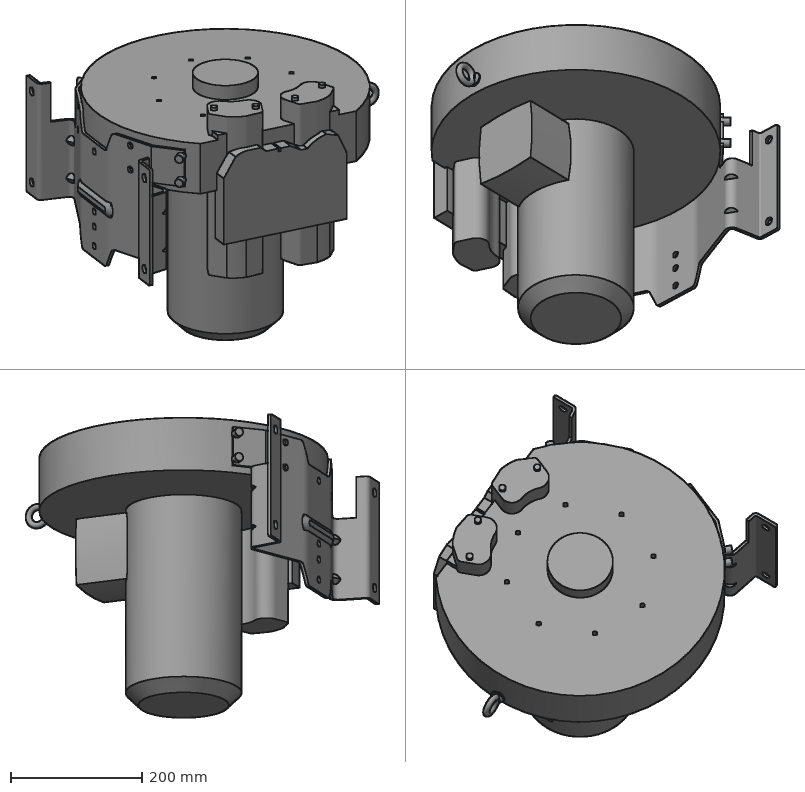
import cadquery as cq
import math


OVERLAP = 5.0

DISC_R = 220.0
DISC_THICK = 83.5
FLAT_X = 174.5
HUB_R = 50.0
HUB_H = 23.5
COVER_HOLE_CIRCLE_R = 113.5
COVER_HOLE_D = 7.0
COVER_HOLE_DEPTH = 15.0
COVER_HOLE_COUNT = 8

MOTOR_R = 88.5
MOTOR_BOTTOM = -391.5
MOTOR_CHAMFER = 19.5
BOX_TOP = -91.5
BOX_BOTTOM = -196.0
BOX_HALF_W = 52.0
BOX_BULGE = 3.5
BOX_END_Y = 155.5
BOX_START_Y = 50.0

SILENCER_ANGLE = 22.5
SILENCER_TOP = 35.5
SILENCER_BOTTOM = -232.5
LOBE_R = 19.0
LOBE_U = 153.0
LOBE_V = 22.5
NECK_U = 138.0
NECK_END = (135.0, 16.5)
SHOULDER_U = 181.5
OUTER_END = (195.0, 15.0)
OUTER_U = 196.5
SHOULDER_FILLET = 6.5
CAP_BOLT_R = 5.0
CAP_BOLT_H = 5.0
CAP_BOLT_U = 165.0
CAP_BOLT_V = 32.0
PAD_X = 154.5
PAD_Y = (80.0, 104.0)
PAD_TOP = 8.0
FLANGE_X = 197.5
FLANGE_HALF_Y = 105.5
FLANGE_BOTTOM = -164.5
FLANGE_PEAK = -16.5
FLANGE_SHOULDER = -23.0
FLANGE_SADDLE = -24.0
FLANGE_FALL = -27.0
FLANGE_VALLEY = -34.0
FLANGE_END_TOP = -55.0
REAR_SHOULDER_Y = 91.0
REAR_PEAK_Y = 70.5
REAR_CREST = (59.5, -20.0)
REAR_FALL_Y = 46.0
VALLEY_REAR_Y = 38.0
VALLEY_FRONT_Y = 27.0
SADDLE_REAR_Y = 9.0
SADDLE_FRONT_Y = -33.0
FRONT_PEAK_REAR_Y = -42.0
FRONT_PEAK_Y = -61.5
FRONT_CREST = (-74.5, -18.0)
FRONT_SHOULDER_Y = -85.5
FLANGE_GROOVE_Y = -10.0
FLANGE_GROOVE_W = 3.5
FLANGE_GROOVE_DEPTH = 5.0

EYE_Z = -62.5
EYE_TUBE_R = 5.0
EYE_RING_R = 14.5
EYE_TIP_Y = 263.0
EYE_COLLAR_Y = 224.0
EYE_COLLAR_R = 11.0
EYE_COLLAR_RIM = 2.0
EYE_NECK_R = 7.5
EYE_NECK_Y = 231.0
EYE_SHANK_R = 4.5

SHEET = 5.0
RIM_GAP = 0.5
PLATE_DIST = DISC_R + RIM_GAP + SHEET / 2
EAR_DIST = DISC_R - RIM_GAP + SHEET / 2
WING_ANGLE = 22.5
EAR_ANGLE = 45.0
LEG_ANGLE = 11.0
FOOT_MID_Y = -233.5
FOOT_BEND_X = 165.0
FOOT_END_X = 203.5
FOOT_BEND_R = 5.0
LEG_BEND_R = 10.0
CENTRE_BEND_R = 37.5
EAR_BEND_R = 10.0
EAR_LENGTH = 52.0
BRACKET_TOP = -12.0
BRACKET_BOTTOM = -205.0
PANEL_TOP = -46.5
PANEL_BOTTOM = -239.0
PANEL_HALF_W = 39.0
PANEL_SLOPE_X = 53.5
PANEL_FILLET = 7.0
FOOT_CORNER_R = 3.0
EAR_BOTTOM = -72.5
NOTCH_BOTTOM = -77.0
NOTCH_X = 124.5
NOTCH_Y = -216.5
EAR_BOLT_Z = (-22.5, -62.5)
EAR_BOLT_R = 6.5
EAR_BOLT_END = 235.5
SHEET_HOLE_D = 10.0
PANEL_HOLE_Z = (-62.5, -162.0, -187.0, -219.5)
FOOT_HOLE_D = 13.0
FOOT_HOLE_X = 185.5
FOOT_HOLE_Z = (-32.5, -183.5)

BEAD_Z = -141.0
BEAD_HEIGHT = 4.5
BEAD_RIDGE_LENGTH = 92.0
BEAD_RIDGE_WIDTH = 8.5
BEAD_ROOT = 2.5
BEAD_TAPER = 58.0
GUSSET_Z = (-110.5, -173.0)
GUSSET_LENGTH = 14.0
GUSSET_HALF_H = 11.5
GUSSET_ROOT = 2.5
GUSSET_DEPTH = 11.0
DENT_LENGTH = 20.0
DENT_HALF_H = 6.5
DENT_DEPTH = 6.0


def both_x(shape):
    """Shape together with its mirror image across the YZ plane."""
    return shape.union(shape.mirror("YZ"))


def both_y(shape):
    """Shape together with its mirror image across the XZ plane."""
    return shape.union(shape.mirror("XZ"))


def housing():
    disc = cq.Workplane("XY").circle(DISC_R).extrude(-DISC_THICK)
    beyond_flat = cq.Workplane("XY").box(
        DISC_R, 2 * DISC_R, 2 * DISC_THICK, centered=(False, True, True)
    ).translate((FLAT_X, 0, -DISC_THICK / 2))
    disc = disc.cut(beyond_flat)
    cover_holes = (
        cq.Workplane("XY")
        .polarArray(COVER_HOLE_CIRCLE_R, 0, 360, COVER_HOLE_COUNT)
        .circle(COVER_HOLE_D / 2)
        .extrude(-COVER_HOLE_DEPTH)
    )
    hub = cq.Workplane("XY").circle(HUB_R).extrude(HUB_H)
    return disc.cut(cover_holes).union(hub)


def motor():
    top = -DISC_THICK / 2
    return (
        cq.Workplane("XY", origin=(0, 0, top))
        .circle(MOTOR_R)
        .extrude(MOTOR_BOTTOM - top)
        .faces("<Z")
        .chamfer(MOTOR_CHAMFER)
    )


def terminal_box():
    mid_z = (BOX_TOP + BOX_BOTTOM) / 2
    bulged_w = BOX_HALF_W + BOX_BULGE
    return (
        cq.Workplane("XZ", origin=(0, BOX_END_Y, 0))
        .moveTo(-BOX_HALF_W, BOX_TOP)
        .threePointArc((0, BOX_TOP + BOX_BULGE), (BOX_HALF_W, BOX_TOP))
        .threePointArc((bulged_w, mid_z), (BOX_HALF_W, BOX_BOTTOM))
        .threePointArc((0, BOX_BOTTOM - BOX_BULGE), (-BOX_HALF_W, BOX_BOTTOM))
        .threePointArc((-bulged_w, mid_z), (-BOX_HALF_W, BOX_TOP))
        .close()
        .extrude(BOX_END_Y - BOX_START_Y)
    )


def silencer():
    """Kidney-shaped tube with two cap bolts, drawn along X and then swung round."""
    side_v = LOBE_V + LOBE_R
    lobe_mid = (LOBE_U - LOBE_R * math.sqrt(0.5), LOBE_V + LOBE_R * math.sqrt(0.5))
    neck_u, neck_v = NECK_END
    outer_u, outer_v = OUTER_END
    tube = (
        cq.Workplane("XY", origin=(0, 0, SILENCER_BOTTOM))
        .moveTo(neck_u, -neck_v)
        .threePointArc((NECK_U, 0), (neck_u, neck_v))
        .threePointArc(lobe_mid, (LOBE_U, side_v))
        .lineTo(SHOULDER_U, side_v)
        .lineTo(outer_u, outer_v)
        .threePointArc((OUTER_U, 0), (outer_u, -outer_v))
        .lineTo(SHOULDER_U, -side_v)
        .lineTo(LOBE_U, -side_v)
        .threePointArc((lobe_mid[0], -lobe_mid[1]), (neck_u, -neck_v))
        .close()
        .extrude(SILENCER_TOP - SILENCER_BOTTOM)
    )
    for side in (1, -1):
        shoulder = cq.selectors.NearestToPointSelector((SHOULDER_U, side * side_v, SILENCER_BOTTOM / 2))
        tube = tube.edges("|Z").edges(shoulder).fillet(SHOULDER_FILLET)
    bolts = (
        cq.Workplane("XY", origin=(0, 0, SILENCER_TOP))
        .pushPoints([(CAP_BOLT_U, CAP_BOLT_V), (CAP_BOLT_U, -CAP_BOLT_V)])
        .circle(CAP_BOLT_R)
        .extrude(CAP_BOLT_H)
    )
    return tube.union(bolts).rotate((0, 0, 0), (0, 0, 1), SILENCER_ANGLE)


def pad():
    low_y, high_y = PAD_Y
    return cq.Workplane("XY").box(
        FLAT_X - PAD_X, high_y - low_y, 2 * PAD_TOP, centered=(False, False, True)
    ).translate((PAD_X, low_y, 0))


def port_flange():
    """Plate on the flat of the disc whose top edge has a hump over each port."""
    thickness = FLANGE_X - FLAT_X + OVERLAP
    plane = cq.Workplane("YZ", origin=(FLAT_X - OVERLAP, 0, 0))
    plate = (
        plane.moveTo(FLANGE_HALF_Y, FLANGE_BOTTOM)
        .lineTo(FLANGE_HALF_Y, FLANGE_END_TOP)
        .lineTo(REAR_SHOULDER_Y, FLANGE_SHOULDER)
        .lineTo(REAR_PEAK_Y, FLANGE_PEAK)
        .threePointArc(REAR_CREST, (REAR_FALL_Y, FLANGE_FALL))
        .lineTo(VALLEY_REAR_Y, FLANGE_VALLEY)
        .lineTo(VALLEY_FRONT_Y, FLANGE_VALLEY)
        .lineTo(SADDLE_REAR_Y, FLANGE_SADDLE)
        .lineTo(SADDLE_FRONT_Y, FLANGE_SADDLE)
        .lineTo(FRONT_PEAK_REAR_Y, FLANGE_PEAK)
        .lineTo(FRONT_PEAK_Y, FLANGE_PEAK)
        .threePointArc(FRONT_CREST, (FRONT_SHOULDER_Y, FLANGE_SHOULDER))
        .lineTo(-FLANGE_HALF_Y, FLANGE_END_TOP)
        .lineTo(-FLANGE_HALF_Y, FLANGE_BOTTOM)
        .close()
        .extrude(thickness)
    )
    groove = (
        plane.center(FLANGE_GROOVE_Y, FLANGE_SADDLE)
        .rect(FLANGE_GROOVE_W, 2 * FLANGE_GROOVE_DEPTH)
        .extrude(thickness)
    )
    return plate.cut(groove)


def lifting_eye():
    ring_y = EYE_TIP_Y - EYE_RING_R - EYE_TUBE_R
    ring = cq.Workplane(cq.Solid.makeTorus(
        EYE_RING_R, EYE_TUBE_R, cq.Vector(0, ring_y, EYE_Z), cq.Vector(1, 0, 0)
    ))
    rim_y = EYE_COLLAR_Y + EYE_COLLAR_RIM
    stem = (
        cq.Workplane("XY")
        .polyline([
            (0, DISC_R - OVERLAP),
            (EYE_SHANK_R, DISC_R - OVERLAP),
            (EYE_SHANK_R, EYE_COLLAR_Y),
            (EYE_COLLAR_R, EYE_COLLAR_Y),
            (EYE_COLLAR_R, rim_y),
            (EYE_NECK_R, EYE_NECK_Y),
            (0, EYE_NECK_Y),
        ])
        .close()
        .revolve(360, (0, 0, 0), (0, 1, 0))
        .translate((0, 0, EYE_Z))
    )
    return ring.union(stem)


def plane_crossing(dist_a, angle_a, dist_b, angle_b):
    """Where two upright sheets cross; angles turn from -Y towards -X."""
    a, b = math.radians(angle_a), math.radians(angle_b)
    spread = math.sin(b - a)
    x = (dist_a * math.cos(b) - dist_b * math.cos(a)) / spread
    y = (dist_a * math.sin(b) - dist_b * math.sin(a)) / -spread
    return x, y


def folded_sheet(corners, bend_radii, z_bottom, z_top):
    """Upright sheet whose middle follows the corners, with a bend at each inner one."""
    path = cq.Wire.makePolygon([cq.Vector(x, y, z_bottom) for x, y in corners])
    for corner, radius in zip(corners[1:-1], bend_radii):
        x, y = corner
        vertex = min(path.Vertices(), key=lambda v: math.hypot(v.X - x, v.Y - y))
        path = path.fillet(radius, [vertex])
    start, following = cq.Vector(*corners[0]), cq.Vector(*corners[1])
    profile_plane = cq.Plane(
        origin=(*corners[0], z_bottom), xDir=(0, 0, 1), normal=(following - start).toTuple()
    )
    height = z_top - z_bottom
    return (
        cq.Workplane(profile_plane)
        .center(height / 2, 0)
        .rect(height, SHEET)
        .sweep(cq.Workplane(path))
    )


CENTRE_CORNER = plane_crossing(PLATE_DIST, 0, PLATE_DIST, WING_ANGLE)
EAR_CORNER = plane_crossing(PLATE_DIST, WING_ANGLE, EAR_DIST, EAR_ANGLE)
FOOT_BEND = (-FOOT_BEND_X, FOOT_MID_Y)
LEG_NORMAL = 90 + LEG_ANGLE
LEG_DIST = (
    FOOT_BEND_X * math.sin(math.radians(LEG_NORMAL))
    - FOOT_MID_Y * math.cos(math.radians(LEG_NORMAL))
)
LEG_CORNER = plane_crossing(PLATE_DIST, WING_ANGLE, LEG_DIST, LEG_NORMAL)


def bracket_outline():
    """Front outline of the bracket, as a block along Y."""
    half = (
        cq.Workplane("XZ")
        .polyline([
            (0, PANEL_TOP),
            (-PANEL_HALF_W, PANEL_TOP),
            (-PANEL_SLOPE_X, BRACKET_TOP),
            (-FOOT_END_X, BRACKET_TOP),
            (-FOOT_END_X, BRACKET_BOTTOM),
            (-PANEL_SLOPE_X, BRACKET_BOTTOM),
            (-PANEL_HALF_W, PANEL_BOTTOM),
            (0, PANEL_BOTTOM),
        ])
        .close()
        .extrude(2 * DISC_R)
    )
    inner_corners = cq.selectors.BoxSelector(
        (-FOOT_END_X / 2, -2 * DISC_R, 2 * PANEL_BOTTOM), (-PANEL_HALF_W / 2, 0, 0)
    )
    half = half.edges("|Y").edges(inner_corners).fillet(PANEL_FILLET)
    half = half.edges("|Y and <X").fillet(FOOT_CORNER_R)
    return both_x(half)


def main_sheet():
    """Foot, leg, wing and half of the centre panel, mirrored to the full width."""
    half = folded_sheet(
        [(-FOOT_END_X, FOOT_MID_Y), FOOT_BEND, LEG_CORNER, CENTRE_CORNER, (0, -PLATE_DIST)],
        [FOOT_BEND_R, LEG_BEND_R, CENTRE_BEND_R],
        PANEL_BOTTOM,
        BRACKET_TOP,
    )
    notch_size = (FOOT_END_X - NOTCH_X, DISC_R, BRACKET_TOP - NOTCH_BOTTOM)
    notch = cq.Workplane("XY").box(*notch_size, centered=False)
    half = half.cut(notch.translate((-FOOT_END_X, NOTCH_Y, NOTCH_BOTTOM)))
    return both_x(half).intersect(bracket_outline())


def ear():
    """Tab that follows the wing and then turns back to lie on the disc rim."""
    root = ((CENTRE_CORNER[0] + EAR_CORNER[0]) / 2, (CENTRE_CORNER[1] + EAR_CORNER[1]) / 2)
    turn = math.radians(EAR_ANGLE)
    tip = (
        EAR_CORNER[0] - EAR_LENGTH * math.cos(turn),
        EAR_CORNER[1] + EAR_LENGTH * math.sin(turn),
    )
    return folded_sheet([tip, EAR_CORNER, root], [EAR_BEND_R], EAR_BOTTOM, BRACKET_TOP)


def leg_bend_wedge(length, half_height, root, ridge, z):
    """Triangular bar across the leg bend, from depth root to a ridge pointing into the bend.

    Depths are counted from the outer apex of the bend.
    """
    wing, leg_inside = math.radians(WING_ANGLE), math.radians(LEG_NORMAL - 180)
    middle = (wing + leg_inside) / 2
    inward = cq.Vector(-math.sin(middle), -math.cos(middle), 0)
    to_centre = LEG_BEND_R / math.cos((wing - leg_inside) / 2)
    to_apex = to_centre - LEG_BEND_R - SHEET / 2
    apex = cq.Vector(*LEG_CORNER, z) + inward * to_apex
    across = cq.Vector(0, 0, 1).cross(inward)
    return (
        cq.Workplane(cq.Plane(origin=apex, xDir=inward, normal=across))
        .polyline([(root, -half_height), (ridge, 0), (root, half_height)])
        .close()
        .extrude(length / 2, both=True)
    )


def bead():
    """Pressed stiffening bead across the centre panel."""
    face_y = -PLATE_DIST - SHEET / 2
    spread = 2 * (BEAD_ROOT + BEAD_HEIGHT) * math.tan(math.radians(BEAD_TAPER))
    return (
        cq.Workplane("XZ", origin=(0, face_y + BEAD_ROOT, BEAD_Z))
        .slot2D(BEAD_RIDGE_LENGTH + spread, BEAD_RIDGE_WIDTH + spread)
        .extrude(BEAD_ROOT + BEAD_HEIGHT, taper=BEAD_TAPER)
    )


def y_drills(x, heights, diameter):
    """Cylinders along Y that reach from the XZ plane past the front of the bracket."""
    return (
        cq.Workplane("XZ")
        .pushPoints([(x, z) for z in heights])
        .circle(diameter / 2)
        .extrude(2 * DISC_R)
    )


def radial_cylinders(angle, heights, radius, start, end):
    """Cylinders pointing away from the motor axis; the angle turns from -Y towards -X."""
    return (
        cq.Workplane("XZ", origin=(0, -start, 0))
        .pushPoints([(0, z) for z in heights])
        .circle(radius)
        .extrude(end - start)
        .rotate((0, 0, 0), (0, 0, 1), -angle)
    )


def bracket():
    side = ear()
    for z in GUSSET_Z:
        side = side.union(leg_bend_wedge(GUSSET_LENGTH, GUSSET_HALF_H, GUSSET_ROOT, GUSSET_DEPTH, z))
    sheet = main_sheet().union(both_x(side)).union(bead())
    for z in GUSSET_Z:
        sheet = sheet.cut(both_x(leg_bend_wedge(DENT_LENGTH, DENT_HALF_H, -SHEET / 2, DENT_DEPTH, z)))
    wing_holes = radial_cylinders(
        WING_ANGLE, EAR_BOLT_Z, SHEET_HOLE_D / 2, DISC_R - OVERLAP, PLATE_DIST + SHEET
    )
    foot_holes = y_drills(-FOOT_HOLE_X, FOOT_HOLE_Z, FOOT_HOLE_D)
    panel_holes = y_drills(0, PANEL_HOLE_Z, SHEET_HOLE_D)
    sheet = sheet.cut(both_x(wing_holes)).cut(both_x(foot_holes)).cut(panel_holes)
    bolts = radial_cylinders(EAR_ANGLE, EAR_BOLT_Z, EAR_BOLT_R, DISC_R - OVERLAP, EAR_BOLT_END)
    return sheet.union(both_x(bolts))


result = (
    housing()
    .union(motor())
    .union(terminal_box())
    .union(both_y(silencer().union(pad())))
    .union(port_flange())
    .union(lifting_eye())
    .union(bracket())
)